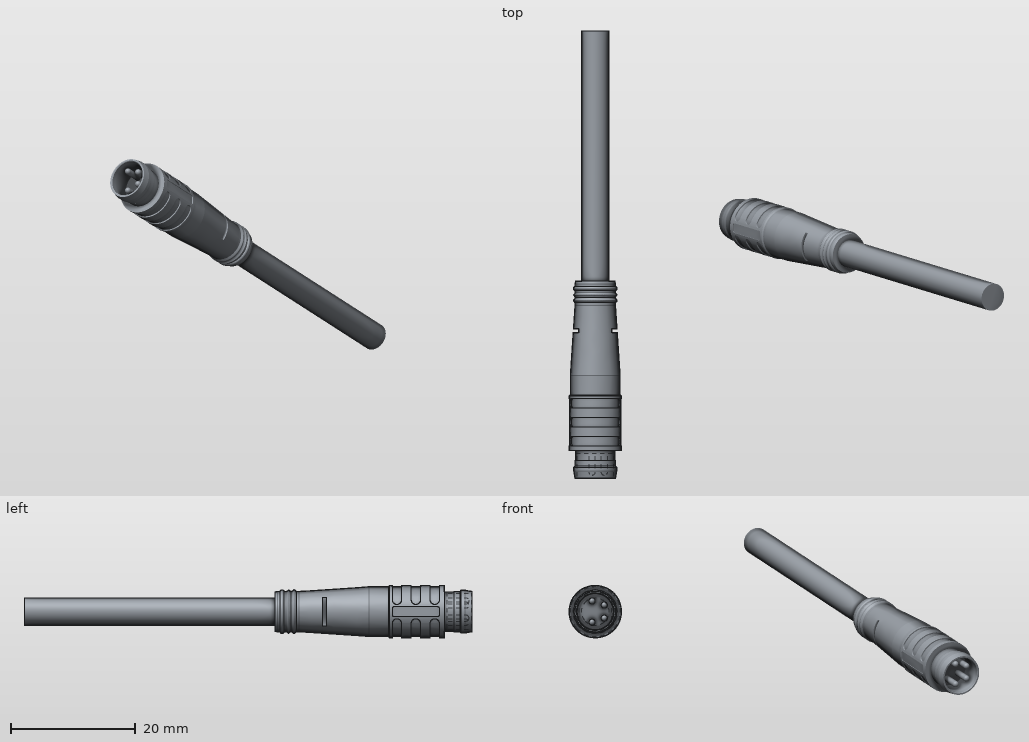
import cadquery as cq

total_length = 71.7
front_y = -total_length / 2

cable_dia = 4.4
socket_dia = 5.8
neck_dia = 6.3
collar_dia = 6.5
barb_dia = 6.9
ring_dia = 7.0
body_dia = 8.0
grip_dia = 8.4

barb_crest_start = 1.15
barb_crest_end = 1.75
barb_end = 1.95
neck_start = 2.9
grip_start = 4.45
grip_end = 13.4
cone_start = 16.5
cone_end = 27.7
wave_start = 28.15
wave_end = 29.8
ring_start = 30.1
ring_end = 30.75
cap_start = 31.15
cap_end = 31.6

recess_width = 1.5
recess_pitch = 3.03
recess_count = 3
first_recess_y = 5.97
recess_end_height = 1.15
panel_height = 1.6
panel_corner = 0.3
panel_length = (recess_count - 1) * recess_pitch + recess_width

slot_y = 23.65
slot_width = 0.6
slot_height = 4.6
slot_floor_x = 2.6

socket_depth = 4.0
mouth_chamfer = 0.1
pin_dia = 1.0
pin_tip_gap = 0.5
pin_centres = [(-0.5, 1.7), (-0.5, -1.7), (1.45, 1.05), (1.45, -1.05)]


def turned_body():
    """Revolve the whole outside outline, from the mating face to the cable end."""

    def at(diameter, station):
        return (diameter / 2, front_y + station)

    chamfer = (grip_dia - body_dia) / 2
    wave_middle = (wave_start + wave_end) / 2
    wave_quarter = (wave_end - wave_start) / 4
    along_axis = (0, 1)
    wave_slope = (1, 1)
    profile = (
        cq.Workplane("XY")
        .moveTo(*at(0, 0))
        .lineTo(*at(collar_dia, 0))
        .lineTo(*at(barb_dia, barb_crest_start))
        .lineTo(*at(barb_dia, barb_crest_end))
        .lineTo(*at(collar_dia, barb_end))
        .lineTo(*at(collar_dia, neck_start))
        .lineTo(*at(neck_dia, neck_start))
        .lineTo(*at(neck_dia, grip_start))
        .lineTo(*at(grip_dia, grip_start))
        .lineTo(*at(grip_dia, grip_end - chamfer))
        .lineTo(*at(body_dia, grip_end))
        .lineTo(*at(body_dia, cone_start))
        .lineTo(*at(collar_dia, cone_end))
        .lineTo(*at(collar_dia, wave_start))
        .spline(
            [at(ring_dia, wave_middle - wave_quarter), at(collar_dia, wave_middle)],
            tangents=[wave_slope, along_axis],
            includeCurrent=True,
        )
        .spline(
            [at(ring_dia, wave_middle + wave_quarter), at(collar_dia, wave_end)],
            tangents=[along_axis, along_axis],
            includeCurrent=True,
        )
        .lineTo(*at(collar_dia, ring_start))
        .threePointArc(at(ring_dia, (ring_start + ring_end) / 2), at(collar_dia, ring_end))
        .lineTo(*at(collar_dia, cap_start))
        .lineTo(*at(neck_dia, cap_end))
        .lineTo(*at(cable_dia, cap_end))
        .lineTo(*at(cable_dia, total_length))
        .lineTo(*at(0, total_length))
        .close()
    )
    return profile.revolve(360, (0, 0, 0), (0, 1, 0))


def cylinder(diameter, start, length):
    """A cylinder on the connector axis between two stations."""
    plane = cq.Workplane("XZ", origin=(0, front_y + start, 0))
    return plane.circle(diameter / 2).extrude(-length)


def box(size_x, size_y, size_z, station):
    """A box centred on the connector axis at one station."""
    return cq.Workplane("XY").box(size_x, size_y, size_z).translate((0, front_y + station, 0))


def grip_recesses():
    """Ring recesses over the top and the bottom, each ending in a half round on both sides."""
    slot_length = grip_dia
    cutter = cq.Workplane("YZ")
    for index in range(recess_count):
        station = first_recess_y + index * recess_pitch
        for side in (1, -1):
            centre_z = side * (recess_end_height + slot_length / 2)
            slot = (
                cq.Workplane("YZ", origin=(0, front_y + station, centre_z))
                .slot2D(slot_length, recess_width, 90)
                .extrude(grip_dia, both=True)
            )
            cutter.add(slot)
    return cutter.combine().cut(cylinder(body_dia, 0, total_length))


def side_panels():
    """Long flat panels sunk into the +X and -X sides of the grip."""
    station = first_recess_y + (recess_count - 1) * recess_pitch / 2
    bar = box(2 * grip_dia, panel_length, panel_height, station).edges("|X").fillet(panel_corner)
    return bar.cut(box(body_dia, total_length, grip_dia, station))


def cone_slots():
    """Narrow slots in the +X and -X sides of the cone."""
    bar = box(2 * grip_dia, slot_width, slot_height, slot_y)
    return bar.cut(box(2 * slot_floor_x, total_length, grip_dia, slot_y))


def socket():
    """The round bore in the mating face, with a small chamfer at its mouth."""
    bore_radius = socket_dia / 2
    floor_y = front_y + socket_depth
    profile = (
        cq.Workplane("XY")
        .moveTo(0, front_y)
        .lineTo(bore_radius + mouth_chamfer, front_y)
        .lineTo(bore_radius, front_y + mouth_chamfer)
        .lineTo(bore_radius, floor_y)
        .lineTo(0, floor_y)
        .close()
    )
    return profile.revolve(360, (0, 0, 0), (0, 1, 0))


def contact_pins():
    """Round-tipped pins standing on the socket floor."""
    tip_centre_y = front_y + pin_tip_gap + pin_dia / 2
    shaft_length = front_y + socket_depth - tip_centre_y
    shafts = (
        cq.Workplane("XZ", origin=(0, front_y + socket_depth, 0))
        .pushPoints(pin_centres)
        .circle(pin_dia / 2)
        .extrude(shaft_length)
    )
    tips = cq.Workplane("XZ", origin=(0, tip_centre_y, 0)).pushPoints(pin_centres).sphere(pin_dia / 2)
    return shafts.union(tips)


result = (
    turned_body()
    .cut(grip_recesses())
    .cut(side_panels())
    .cut(cone_slots())
    .cut(socket())
    .union(contact_pins())
)